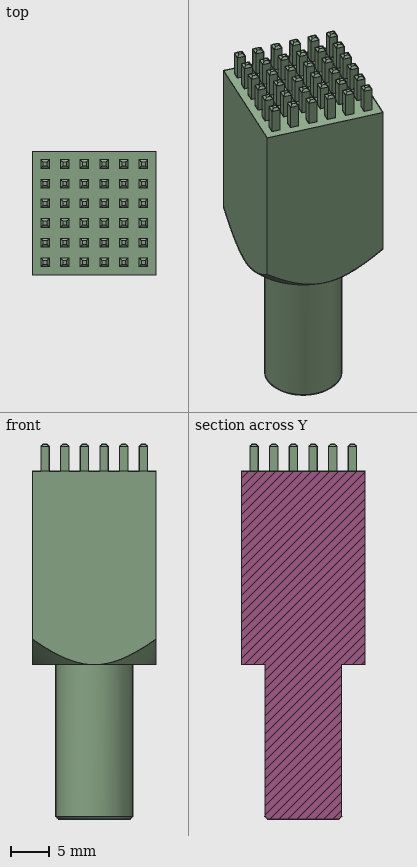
import cadquery as cq

total_height = 48.5

shank_diameter = 10.0
shank_height = 20.0
shank_chamfer = 0.4

body_width = 16.0
body_top = 45.0
body_height = body_top - shank_height

pins_per_side = 6
pin_grid_span = 12.7
pin_pitch = pin_grid_span / (pins_per_side - 1)
pin_width = 1.1
pin_height = total_height - body_top
pin_chamfer = 0.3


def make_shank():
    return (
        cq.Workplane("XY")
        .circle(shank_diameter / 2)
        .extrude(shank_height)
        .faces("<Z")
        .chamfer(shank_chamfer)
    )


def make_body():
    """Square block whose lower corners are turned away by a 45 degree cone."""
    inscribed_radius = body_width / 2
    turning_radius = body_width
    cone_top = shank_height + turning_radius - inscribed_radius
    block = (
        cq.Workplane("XY")
        .workplane(offset=shank_height)
        .rect(body_width, body_width)
        .extrude(body_height)
    )
    turned_envelope = (
        cq.Workplane("XZ")
        .moveTo(0, shank_height)
        .lineTo(inscribed_radius, shank_height)
        .lineTo(turning_radius, cone_top)
        .lineTo(turning_radius, body_top)
        .lineTo(0, body_top)
        .close()
        .revolve(360, (0, 0, 0), (0, 1, 0))
    )
    return block.intersect(turned_envelope)


def make_pins():
    return (
        cq.Workplane("XY")
        .workplane(offset=body_top)
        .rarray(pin_pitch, pin_pitch, pins_per_side, pins_per_side)
        .rect(pin_width, pin_width)
        .extrude(pin_height)
        .faces(">Z")
        .chamfer(pin_chamfer)
    )


result = make_shank().union(make_body()).union(make_pins())